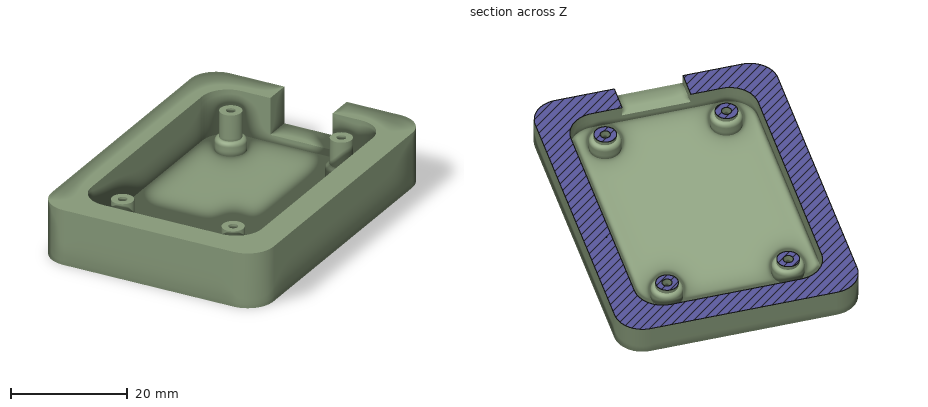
import cadquery as cq

length = 59.65
width = 43.3
height = 10.5
wall = 5.0
corner_radius = 5.0
floor_thickness = 2.0

notch_width = 12.2
notch_depth = 7.05

post_spacing_x = 21.6
post_spacing_y = 38.65
post_center_x = 0.05
post_center_y = -0.1
post_diameter = 4.0
post_height = 7.45
collar_diameter = 5.6
collar_height = 2.5
collar_rounding = (collar_diameter - post_diameter) / 2
hole_diameter = 1.7


def rounded_block(size_x, size_y, size_z):
    """Upright block on Z = 0 with rounded vertical corners."""
    block = cq.Workplane("XY").box(size_x, size_y, size_z, centered=(True, True, False))
    return block.edges("|Z").fillet(corner_radius)


def make_tray():
    """Rounded tray, open at the top."""
    cavity = rounded_block(width - 2 * wall, length - 2 * wall, height - floor_thickness)
    return rounded_block(width, length, height).cut(cavity.translate((0, 0, floor_thickness)))


def make_notch():
    """Block removed from the +Y wall, open at the top, outside and inside."""
    notch = cq.Workplane("XY").box(notch_width, wall, notch_depth)
    return notch.translate((0, (length - wall) / 2, height - notch_depth / 2))


def make_post():
    """Post with a round-edged collar and a blind hole that ends at the tray floor."""
    collar = cq.Workplane("XY").circle(collar_diameter / 2).extrude(collar_height)
    collar = collar.faces(">Z").edges().fillet(collar_rounding)
    shaft = cq.Workplane("XY").circle(post_diameter / 2).extrude(post_height)
    hole = cq.Workplane("XY").circle(hole_diameter / 2).extrude(post_height)
    return collar.union(shaft).cut(hole)


result = make_tray().cut(make_notch())

post = make_post()
for side_x in (-1, 1):
    for side_y in (-1, 1):
        post_x = post_center_x + side_x * post_spacing_x / 2
        post_y = post_center_y + side_y * post_spacing_y / 2
        result = result.union(post.translate((post_x, post_y, floor_thickness)))